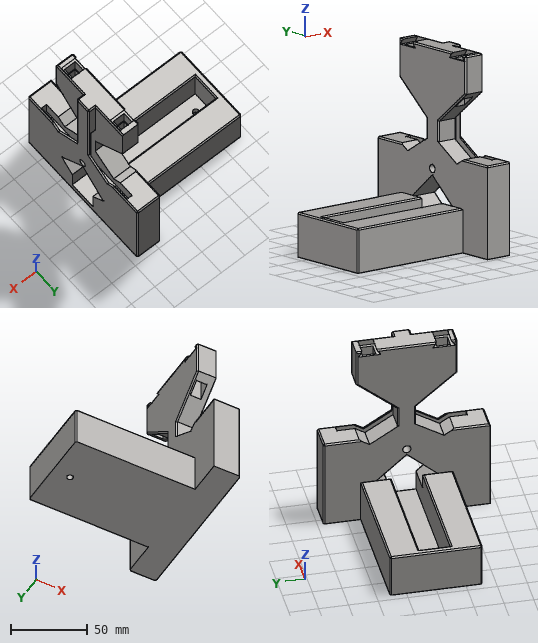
import cadquery as cq

CHAMFER = 1.0
MATCH_TOLERANCE = 0.01

LENGTH = 110.0
BLOCK_WIDTH = 62.0
BLOCK_HEIGHT = 30.0
TROUGH_WIDTH = 21.0
END_WALL = 5.0
FLOOR_THICKNESS = 5.0
SCREW_HOLE_DIAMETER = 4.3
SCREW_HOLE_X = 13.3

PLATE_WIDTH = 112.0
HEIGHT = 133
PLATE_THICKNESS = 20
HEAD_THICKNESS = 14.2
WING_HEIGHT = 62.9
STEM_HALF_WIDTH = 6.1
HEAD_HALF_WIDTH = 33.9
STEM_TOP_Z = 84.2
HEAD_CORNER_Z = 107.2
NOTCH_Y = 25.0
NOTCH_Z = 58.8
NOTCH_SLOPE = 0.61

PLATE_X = LENGTH - PLATE_THICKNESS
HEAD_BACK_X = PLATE_X + HEAD_THICKNESS
PLATE_HALF_WIDTH = PLATE_WIDTH / 2

PIVOT_HOLE_DIAMETER = 5.5
PIVOT_HOLE_Z = 51.3
WINDOW_TOP_Z = 47.1
WINDOW_MIDDLE_Z = 28.6
WINDOW_SLOPE = 0.87

SLOT_WIDTH = 4.3
SLOT_END_Y = 43.8
SLOT_FLOOR_Z = 53.0
WEB_HALF_WIDTH = 2.0
SLOT_ROOF_Z = 96.0

DOVETAIL_DEPTH = 3.7
DOVETAIL_TOP_WIDTH = 10.0
DOVETAIL_FLOOR_WIDTH = 14.9
DOVETAIL_BACK_WALL = 1.3
SHAFT_SIZE = 8
SHAFT_FRONT_WALL = 2.1
SHAFT_MOUTH_SIZE = 9.0
SHAFT_MOUTH_DEPTH = 10.0


def prism_x(points, x_start, x_end):
    """Extrude a (y, z) outline along X."""
    return cq.Workplane("YZ").workplane(offset=x_start).polyline(points).close().extrude(x_end - x_start)


def mirrored(half_outline):
    """Close a +Y half outline with its mirror image."""
    return half_outline + [(-y, z) for y, z in reversed(half_outline)]


def near(a, b):
    return abs(a - b) < MATCH_TOLERANCE


def make_block():
    block = cq.Workplane("XY").box(PLATE_X, BLOCK_WIDTH, BLOCK_HEIGHT, centered=(False, True, False))
    trough = cq.Workplane("XY").box(PLATE_X, TROUGH_WIDTH, BLOCK_HEIGHT, centered=(False, True, False))
    block = block.cut(trough.translate((END_WALL, 0, FLOOR_THICKNESS)))
    return block.faces(">Z").edges().add(block.edges("<X and |Z")).chamfer(CHAMFER)


def make_plate():
    stem_foot_z = NOTCH_Z + NOTCH_SLOPE * (NOTCH_Y - STEM_HALF_WIDTH)
    notch_outer_y = NOTCH_Y + (WING_HEIGHT - NOTCH_Z) / NOTCH_SLOPE
    lower_half = [
        (PLATE_HALF_WIDTH, 0),
        (PLATE_HALF_WIDTH, WING_HEIGHT),
        (notch_outer_y, WING_HEIGHT),
        (NOTCH_Y, NOTCH_Z),
        (STEM_HALF_WIDTH, stem_foot_z),
    ]
    head_half = [
        (STEM_HALF_WIDTH, STEM_TOP_Z),
        (HEAD_HALF_WIDTH, HEAD_CORNER_Z),
        (HEAD_HALF_WIDTH, HEIGHT),
    ]
    front = prism_x(mirrored(lower_half + head_half), PLATE_X, HEAD_BACK_X)
    back = prism_x(mirrored(lower_half + [(STEM_HALF_WIDTH, HEIGHT)]), HEAD_BACK_X, LENGTH)

    plate = front.union(back)

    def is_chamfered(c):
        on_front = near(c.x, PLATE_X)
        on_back = near(c.x, LENGTH)
        on_wing_end = near(abs(c.y), PLATE_HALF_WIDTH)
        wing_top = near(c.z, WING_HEIGHT) and (on_front or on_back or on_wing_end)
        wing_side = on_wing_end and (on_back or (on_front and c.y > 0))
        above_notch = (on_front or on_back) and c.z > stem_foot_z
        top = near(c.z, HEIGHT) and not near(c.y, HEAD_HALF_WIDTH)
        return wing_top or wing_side or above_notch or top

    edges = [edge for edge in plate.edges().vals() if is_chamfered(edge.Center())]
    return plate.newObject(edges).chamfer(CHAMFER)


def make_window():
    """Diamond opening through the plate, joined below to the trough."""
    half_height = WINDOW_TOP_Z - WINDOW_MIDDLE_Z
    half_width = half_height / WINDOW_SLOPE
    diamond = [
        (0, WINDOW_TOP_Z),
        (half_width, WINDOW_MIDDLE_Z),
        (0, WINDOW_MIDDLE_Z - half_height),
        (-half_width, WINDOW_MIDDLE_Z),
    ]
    passage = cq.Workplane("XY").box(
        PLATE_THICKNESS, TROUGH_WIDTH, WINDOW_MIDDLE_Z - FLOOR_THICKNESS, centered=(False, True, False)
    )
    return prism_x(diamond, PLATE_X, LENGTH).union(passage.translate((PLATE_X, 0, FLOOR_THICKNESS)))


def make_slot(side):
    """Slot on one side of the web, with a sloping roof where it leaves the stem."""
    roof_edge_z = SLOT_ROOF_Z + STEM_HALF_WIDTH - WEB_HALF_WIDTH
    outline = [
        (side * WEB_HALF_WIDTH, SLOT_FLOOR_Z),
        (side * SLOT_END_Y, SLOT_FLOOR_Z),
        (side * SLOT_END_Y, WING_HEIGHT),
        (side * STEM_HALF_WIDTH, roof_edge_z),
        (side * WEB_HALF_WIDTH, SLOT_ROOF_Z),
    ]
    return prism_x(outline, HEAD_BACK_X, HEAD_BACK_X + SLOT_WIDTH)


def make_head_pocket(side):
    """Dovetail pocket open to the front, with a square shaft, wider at its mouth, from its floor down."""
    y = side * NOTCH_Y
    floor_z = HEIGHT - DOVETAIL_DEPTH
    outline = [
        (y - DOVETAIL_FLOOR_WIDTH / 2, floor_z),
        (y + DOVETAIL_FLOOR_WIDTH / 2, floor_z),
        (y + DOVETAIL_TOP_WIDTH / 2, HEIGHT),
        (y - DOVETAIL_TOP_WIDTH / 2, HEIGHT),
    ]
    dovetail = prism_x(outline, PLATE_X, HEAD_BACK_X - DOVETAIL_BACK_WALL)
    shaft_x = PLATE_X + SHAFT_FRONT_WALL + SHAFT_SIZE / 2
    shaft_top = cq.Workplane("XY").workplane(offset=floor_z).center(shaft_x, y)
    shaft = shaft_top.rect(SHAFT_SIZE, SHAFT_SIZE).extrude(STEM_TOP_Z - floor_z)
    mouth = shaft_top.rect(SHAFT_MOUTH_SIZE, SHAFT_MOUTH_SIZE).extrude(-SHAFT_MOUTH_DEPTH)
    return dovetail.union(shaft).union(mouth)


def make_screw_hole():
    centre = cq.Workplane("XY").center(SCREW_HOLE_X, 0)
    return centre.circle(SCREW_HOLE_DIAMETER / 2).extrude(FLOOR_THICKNESS)


def make_pivot_hole():
    centre = cq.Workplane("YZ").workplane(offset=PLATE_X).center(0, PIVOT_HOLE_Z)
    return centre.circle(PIVOT_HOLE_DIAMETER / 2).extrude(PLATE_THICKNESS)


result = make_block().union(make_plate()).cut(make_window())
result = result.cut(make_screw_hole()).cut(make_pivot_hole())
for side in (-1, 1):
    result = result.cut(make_slot(side)).cut(make_head_pocket(side))